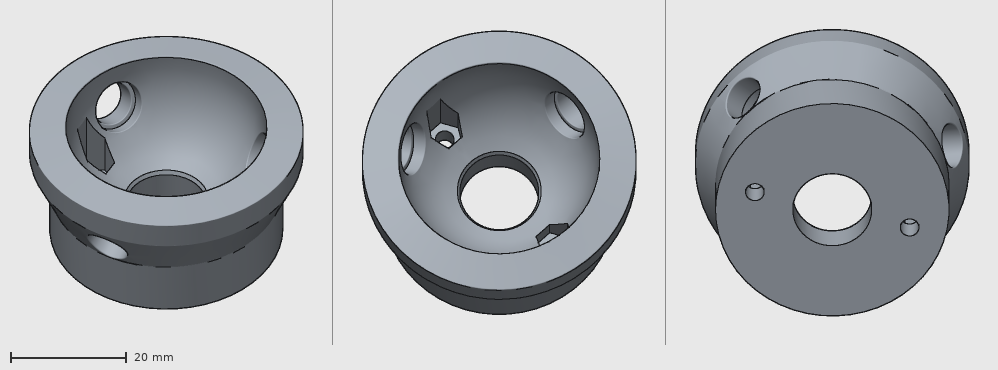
import cadquery as cq
import math

base_radius = 40.4 / 2
rim_radius = 47.4 / 2
mouth_z = 24.5
base_height = 10.05
band_bottom = 18.4
band_top = 23.3
flare_blend = 0.4
edge_round = 0.2

bowl_radius = 17.45
bowl_center_z = 22.85
opening_radius = 13.65 / 2
opening_chamfer = 0.45
opening_chamfer_drop = 0.7

mouth_radius = math.sqrt(bowl_radius**2 - (mouth_z - bowl_center_z) ** 2)

side_hole_radius = 7.6 / 2
side_recess_radius = 9.1 / 2
side_recess_reach = 19.2
side_hole_angles = (30, 150, 270)
side_hole_tilt = math.atan2(rim_radius - base_radius, band_bottom - base_height)

screw_offset = 13.8
screw_radius = 3.2 / 2
nut_width = 5.55
nut_floor_z = 5.0

edge_tolerance = 0.05


def at_circle(radius, z):
    """Selector for the circular edge of this radius centred on the Z axis."""
    reach = radius + edge_tolerance
    return cq.selectors.BoxSelector(
        (-reach, -reach, z - edge_tolerance),
        (reach, reach, z + edge_tolerance),
        boundingbox=True,
    )


def make_body():
    """Solid turned body, with its sloping top face ending at the bowl mouth."""
    profile = (
        cq.Workplane("XZ")
        .moveTo(0, 0)
        .lineTo(base_radius, 0)
        .lineTo(base_radius, base_height)
        .lineTo(rim_radius, band_bottom)
        .lineTo(rim_radius, band_top)
        .lineTo(mouth_radius, mouth_z)
        .lineTo(0, mouth_z)
        .close()
    )
    body = profile.revolve(360, (0, 0, 0), (0, 1, 0))
    for radius, z in ((base_radius, base_height), (rim_radius, band_bottom)):
        body = body.edges(at_circle(radius, z)).fillet(flare_blend)
    return body.edges(at_circle(rim_radius, band_top)).fillet(edge_round)


def make_bowl():
    """Spherical cavity plus the chamfered opening below it."""
    sphere = cq.Workplane("XY").sphere(bowl_radius).translate((0, 0, bowl_center_z))
    chamfer_radius = opening_radius + opening_chamfer
    chamfer_top = bowl_center_z - math.sqrt(bowl_radius**2 - chamfer_radius**2)
    opening = (
        cq.Workplane("XZ")
        .moveTo(0, 0)
        .lineTo(opening_radius, 0)
        .lineTo(opening_radius, chamfer_top - opening_chamfer_drop)
        .lineTo(chamfer_radius, chamfer_top)
        .lineTo(0, chamfer_top)
        .close()
        .revolve(360, (0, 0, 0), (0, 1, 0))
    )
    return sphere.union(opening)


def make_side_hole(angle):
    """Hole running outward and down from the bowl centre, wider on the inside."""
    turn = math.radians(angle)
    center = cq.Vector(0, 0, bowl_center_z)
    direction = cq.Vector(
        math.cos(side_hole_tilt) * math.cos(turn),
        math.cos(side_hole_tilt) * math.sin(turn),
        -math.sin(side_hole_tilt),
    )
    through_length = 2 * rim_radius
    hole = cq.Solid.makeCylinder(side_hole_radius, through_length, center, direction)
    recess = cq.Solid.makeCylinder(side_recess_radius, side_recess_reach, center, direction)
    return hole.fuse(recess)


def make_screw_hole(x):
    """Through hole below a hexagonal pocket with two corners along Y."""
    corner_diameter = nut_width / math.cos(math.radians(30))
    hole = cq.Workplane("XY").center(x, 0).circle(screw_radius).extrude(bowl_center_z)
    pocket = (
        cq.Workplane("XY", origin=(x, 0, nut_floor_z))
        .transformed(rotate=(0, 0, 90))
        .polygon(6, corner_diameter)
        .extrude(bowl_center_z - nut_floor_z)
    )
    return hole.union(pocket)


def is_side_hole_edge(edge):
    """True for the three round edges of a side hole, not for its recess floor corner."""
    center = edge.Center()
    if math.hypot(center.x, center.y) < base_radius / 2 or edge.geomType() == "LINE":
        return False
    if edge.geomType() == "CIRCLE":
        start = edge.startPoint() - cq.Vector(0, 0, bowl_center_z)
        on_bowl = abs(start.Length - bowl_radius) < edge_tolerance
        is_recess_edge = abs(edge.radius() - side_recess_radius) < edge_tolerance
        is_inner_edge = abs(edge.radius() - side_hole_radius) < edge_tolerance
        return is_inner_edge or (is_recess_edge and on_bowl)
    return edge.Length() > side_hole_radius


result = make_body().cut(make_bowl())
result = result.edges(at_circle(mouth_radius, mouth_z)).fillet(edge_round)
for angle in side_hole_angles:
    result = result.cut(cq.Workplane(make_side_hole(angle)))
side_hole_edges = [edge for edge in result.edges().vals() if is_side_hole_edge(edge)]
result = result.newObject(side_hole_edges).fillet(edge_round)
for x in (-screw_offset, screw_offset):
    result = result.cut(make_screw_hole(x))